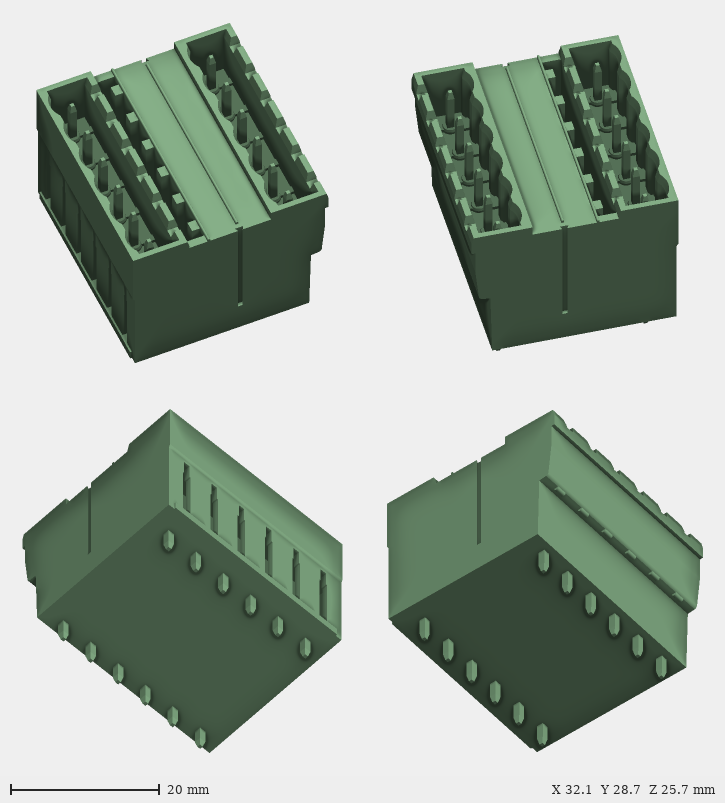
import cadquery as cq


width = 32.08
depth = 28.7
height = 22.2

pin_count = 6
pin_span = 25.4
pin_pitch = pin_span / (pin_count - 1)
pin_columns = [i * pin_pitch - pin_span / 2 for i in range(pin_count)]
row_pitch = 20.45
front_row_y = 3.8
socket_offsets = [0, row_pitch]

pin_size = 1.0
pin_tip_size = 0.5
pin_taper = 1.05
pin_bottom = -3.5
pin_top = 20.9

deck_z = 20.82
deck_front = depth - row_pitch
deck_back = 20.25

front_recess = 0.25
front_lip_z = 13.92
front_lip_chamfer_z = 13.47
foot_rail_width = 30.03
foot_rail_height = 1.3

rim_lean = 0.3
rim_lean_z = 21.1
lip_bottom_z = 19.25
lip_overhang = 0.5
upper_wall_bend_z = 15.62
shelf_corner = (27.72, 10.9)
shelf_corner_mid = (27.6, 10.45)
shelf_outer = (27.3, 10.23)
shelf_inner = (26.1, 10.1)
back_foot_y = 25.85

bump_y = 27.0
bump_z = 10.17
bump_radius = 0.35

cavity_width = 30.55
cavity_floor = 13.8
cavity_back = 6.75
cavity_front = 1.57
rim_chamfer = 0.4
scallop_chord = 3.9
scallop_sag = 0.65
notch_top_width = 1.95
notch_floor_width = 1.22

collar_base_diameter = 2.25
collar_top_diameter = 1.92
collar_height = 0.65
support_height = 0.48

pocket_width = 29.77
pocket_back = 10.95
pocket_floor = shelf_inner[1]
tab_width = 1.57
tab_depth = 1.15
tab_top = 20.72

deck_rib_width = pocket_width
deck_rib_y = 15.75
deck_rib_thickness = 0.4
deck_rib_height = 0.4
edge_rib_y = pocket_back + deck_rib_thickness / 2

dovetail_y = 15.75
dovetail_depth = 0.5
dovetail_mouth = 0.67
dovetail_root = 1.2
dovetail_bottom = 4.52

chamber_front = 1.2
chamber_back = 4.17
chamber_top = 12.8
slot_step_z = 10.25
slot_width = 1.4
slot_flare = 0.15


def block(size_x, y_range, z_range, center_x=0.0):
    """Box centred on center_x that fills the given Y and Z ranges."""
    size_y = y_range[1] - y_range[0]
    size_z = z_range[1] - z_range[0]
    box = cq.Workplane("XY").box(size_x, size_y, size_z, centered=(True, False, False))
    return box.translate((center_x, y_range[0], z_range[0]))


def make_housing():
    """Housing with its full side profile, before the cuts."""
    upper_wall_y = depth - lip_overhang
    return (
        cq.Workplane("YZ")
        .moveTo(front_recess, 0)
        .lineTo(front_recess, front_lip_chamfer_z)
        .lineTo(0, front_lip_z)
        .lineTo(0, height)
        .lineTo(deck_front - rim_lean, height)
        .lineTo(deck_front, rim_lean_z)
        .lineTo(deck_front, deck_z)
        .lineTo(deck_back, deck_z)
        .lineTo(deck_back, height)
        .lineTo(depth - rim_lean, height)
        .lineTo(depth, rim_lean_z)
        .lineTo(depth, lip_bottom_z)
        .lineTo(upper_wall_y, lip_bottom_z)
        .lineTo(upper_wall_y, upper_wall_bend_z)
        .lineTo(*shelf_corner)
        .threePointArc(shelf_corner_mid, shelf_outer)
        .lineTo(*shelf_inner)
        .lineTo(back_foot_y, 0)
        .close()
        .extrude(width / 2, both=True)
    )


def cavity_outline(z, chamfer):
    """Cavity outline at height z, with the front and back walls set back by the chamfer."""
    half_width = cavity_width / 2
    front = cavity_front - chamfer
    back = cavity_back + chamfer
    outline = cq.Workplane("XY", origin=(0, 0, z)).moveTo(-half_width, back).lineTo(-half_width, front)
    for x in pin_columns:
        outline = outline.lineTo(x - scallop_chord / 2, front)
        outline = outline.threePointArc((x, front - scallop_sag), (x + scallop_chord / 2, front))
    return outline.lineTo(half_width, front).lineTo(half_width, back).close()


def make_socket_cut():
    """Scalloped cavity with a chamfered mouth and a notch in the back rim behind every pin."""
    cavity = cavity_outline(cavity_floor, 0).extrude(deck_z - cavity_floor)
    lower_wire = cavity_outline(deck_z, 0).wires().val()
    upper_wire = cavity_outline(height, rim_chamfer).wires().val()
    cut = cavity.union(cq.Workplane(cq.Solid.makeLoft([lower_wire, upper_wire], True)))
    for x in pin_columns:
        notch = (
            cq.Workplane("XZ", origin=(x, cavity_back, 0))
            .polyline([
                (-notch_floor_width / 2, deck_z),
                (notch_floor_width / 2, deck_z),
                (notch_top_width / 2, height),
                (-notch_top_width / 2, height),
            ])
            .close()
            .extrude(cavity_back - deck_front)
        )
        cut = cut.union(notch)
    return cut


def make_contact(x):
    """Pin with its collar and the two support ribs on the cavity floor."""
    support_z = (cavity_floor, cavity_floor + support_height)
    collar_slope = (collar_base_diameter - collar_top_diameter) / 2
    collar = (
        cq.Workplane("XY", origin=(x, front_row_y, cavity_floor))
        .circle(collar_base_diameter / 2)
        .extrude(collar_height)
        .faces(">Z")
        .chamfer(collar_height / 2, collar_slope)
    )
    back_rib = block(pin_size, (front_row_y, cavity_back), support_z, x)
    front_rib = block(collar_top_diameter, (cavity_front - scallop_sag, front_row_y), support_z, x)
    return collar.union(back_rib).union(front_rib).union(make_pin(x))


def make_pin(x):
    """Square pin with a tapered tip at each end."""
    shank_bottom = pin_bottom + pin_taper
    shank_top = pin_top - pin_taper
    y_range = (front_row_y - pin_size / 2, front_row_y + pin_size / 2)
    pin = block(pin_size, y_range, (shank_bottom, shank_top), x)
    for start_z, end_z in [(shank_top, pin_top), (shank_bottom, pin_bottom)]:
        tip = (
            cq.Workplane("XY", origin=(x, front_row_y, start_z))
            .rect(pin_size, pin_size)
            .workplane(offset=end_z - start_z)
            .rect(pin_tip_size, pin_tip_size)
            .loft(ruled=True)
        )
        pin = pin.union(tip)
    return pin


def make_pocket_tab(x):
    """Tab on the back wall of the pocket."""
    return block(tab_width, (pocket_back - tab_depth, pocket_back), (pocket_floor, tab_top), x)


def make_shelf_bump(x):
    """Round bump along X below the back shelf."""
    bump = cq.Workplane("YZ").center(bump_y, bump_z).circle(bump_radius).extrude(tab_width / 2, both=True)
    return bump.translate((x, 0, 0))


def make_deck_rib(center_y, length):
    """Rib along X on the deck with a half-round top."""
    radius = deck_rib_thickness / 2
    side_top = deck_z + deck_rib_height - radius
    return (
        cq.Workplane("YZ")
        .moveTo(center_y - radius, deck_z)
        .lineTo(center_y - radius, side_top)
        .threePointArc((center_y, side_top + radius), (center_y + radius, side_top))
        .lineTo(center_y + radius, deck_z)
        .close()
        .extrude(length / 2, both=True)
    )


def make_dovetail_cut(side):
    """Dovetail groove in the side face at the given sign of X, open at the deck."""
    face_x = side * width / 2
    root_x = face_x - side * dovetail_depth
    return (
        cq.Workplane("XY", origin=(0, dovetail_y, dovetail_bottom))
        .polyline([
            (face_x, -dovetail_mouth / 2),
            (root_x, -dovetail_root / 2),
            (root_x, dovetail_root / 2),
            (face_x, dovetail_mouth / 2),
        ])
        .close()
        .extrude(height - dovetail_bottom)
    )


def make_front_slot(x):
    """Slot through the front wall: narrow at the top, flared at the foot."""
    half_outline = [
        (slot_width / 2 + slot_flare, foot_rail_height),
        (slot_width / 2, foot_rail_height + slot_flare),
        (slot_width / 2, slot_step_z),
        (pin_size / 2, slot_step_z),
        (pin_size / 2, chamber_top),
    ]
    mirrored = [(-offset, z) for offset, z in reversed(half_outline)]
    return (
        cq.Workplane("XZ", origin=(x, 0, 0))
        .polyline(half_outline + mirrored)
        .close()
        .extrude(-chamber_front)
    )


body = make_housing()
body = body.union(block(foot_rail_width, (0, front_recess), (0, foot_rail_height)))
body = body.union(make_deck_rib(deck_rib_y, deck_rib_width))
body = body.union(make_deck_rib(edge_rib_y, width))
for x in pin_columns:
    body = body.union(make_shelf_bump(x))

body = body.cut(block(pocket_width, (deck_front, pocket_back), (pocket_floor, deck_z)))
for x in pin_columns:
    body = body.union(make_pocket_tab(x))

for side in (-1, 1):
    body = body.cut(make_dovetail_cut(side))

body = body.cut(block(foot_rail_width, (chamber_front, chamber_back), (foot_rail_height, chamber_top)))
for x in pin_columns:
    body = body.cut(make_front_slot(x))

socket_cut = make_socket_cut()
contact_row = cq.Workplane(cq.Compound.makeCompound([make_contact(x).val() for x in pin_columns]))
for offset in socket_offsets:
    body = body.cut(socket_cut.translate((0, offset, 0)))
    body = body.union(contact_row.translate((0, offset, 0)))

result = cq.Workplane(body.solids().val())